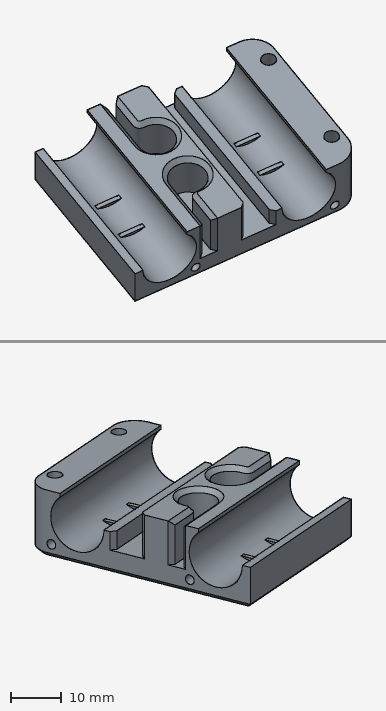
import cadquery as cq

width = 38.0
length = 52.0
height = 14.5
back_corner_radius = 5.0
bevel = 1.0

channel_diameter = 12.3
channel_radius = channel_diameter / 2
channel_z = 9.0
channel_positions = (8.0, 40.0)
lip_offset = 4.0

rib_width = 1.0
rib_spacing = 8.9
rib_top = 3.5

groove_floor = 5.0
wide_groove = (25.5, 31.5)
cable_slot = (16.0, 18.0)

well_diameter = 8.0
well_radius = well_diameter / 2
well_spacing = 12.0
well_y = cable_slot[0] + well_radius
slot_corner_radius = 1.5

cross_hole_diameter = 2.0
cross_hole_offset = 6.0
cross_hole_z = 3.0

screw_diameter = 3.1
screw_spacing = 24.0
screw_y = 49.5
disc_radius = 2.99
disc_z = 2.0
disc_thickness = 0.1

mid_x = width / 2


def box(x_limits, y_limits, z_limits):
    """Axis-aligned box between the given limits."""
    size = [high - low for low, high in (x_limits, y_limits, z_limits)]
    corner = (x_limits[0], y_limits[0], z_limits[0])
    return cq.Workplane("XY").box(*size, centered=False).translate(corner)


def upright_cylinder(x, y, radius, z_low, z_high):
    """Cylinder along Z."""
    return cq.Workplane("XY", origin=(x, y, z_low)).circle(radius).extrude(z_high - z_low)


def cross_cylinder(y, z, radius):
    """Cylinder along X through the full width."""
    return cq.Workplane("YZ").center(y, z).circle(radius).extrude(width)


def base_block():
    """Block with rounded rear corners and a bevelled base edge."""
    block = box((0, width), (0, length), (0, height))
    block = block.edges("|Z and >Y").fillet(back_corner_radius)
    return block.faces("<Z").edges().chamfer(bevel)


def channel(y):
    """Round channel with its entry opening; the stop ribs are left standing."""
    bore = cross_cylinder(y, channel_z, channel_radius)
    mouth = box((0, width), (y, y + lip_offset), (channel_z, height))
    tool = bore.union(mouth)
    for side in (-1, 1):
        rib_x = mid_x + side * rib_spacing / 2
        rib_limits = (rib_x - rib_width / 2, rib_x + rib_width / 2)
        tool = tool.cut(box(rib_limits, (y - channel_radius, y + channel_radius), (0, rib_top)))
    return tool


def groove_end_flares(y_limits):
    """Wedges that bevel the upright corners at both ends of a groove."""
    low, high = y_limits
    wedge = (
        cq.Workplane("XY", origin=(0, 0, groove_floor))
        .polyline([(0, low - bevel), (bevel, low), (bevel, high), (0, high + bevel)])
        .close()
        .extrude(height - groove_floor)
    )
    return wedge.union(wedge.mirror("YZ", (mid_x, 0, 0)))


def cable_well():
    """Left-hand well with its slot to the -X side and a rounded slot corner."""
    slot_low, slot_high = cable_slot
    well_x = mid_x - well_spacing / 2
    wall_x = well_x - well_radius
    return (
        cq.Workplane("XY", origin=(0, 0, groove_floor))
        .moveTo(0, slot_low)
        .lineTo(well_x, slot_low)
        .threePointArc((well_x + well_radius, well_y), (wall_x, well_y))
        .lineTo(wall_x, slot_high + slot_corner_radius)
        .radiusArc((wall_x - slot_corner_radius, slot_high), slot_corner_radius)
        .lineTo(0, slot_high)
        .close()
        .extrude(height - groove_floor)
    )


def cut_cable_wells(body):
    """Cut both wells and bevel their top rims."""
    well = cable_well()
    body = body.cut(well).cut(well.mirror("YZ", (mid_x, 0, 0)))
    margin = bevel / 2
    rim_zone = cq.selectors.BoxSelector(
        (margin, cable_slot[0] - margin, height - margin),
        (width - margin, well_y + well_radius + margin, height + margin),
    )
    return body.edges(rim_zone).chamfer(bevel).cut(groove_end_flares(cable_slot))


def cut_wide_groove(body):
    """Cut the groove behind the wells and bevel its ends."""
    groove = box((0, width), wide_groove, (groove_floor, height))
    return body.cut(groove).cut(groove_end_flares(wide_groove))


def cut_channel(body, y, wall_start):
    """Cut a channel, lower its front wall to the channel axis and drill the cross hole beside it."""
    wall_removal = box((0, width), (wall_start, y), (channel_z, height))
    cross_hole = cross_cylinder(y + cross_hole_offset, cross_hole_z, cross_hole_diameter / 2)
    return body.cut(channel(y)).cut(wall_removal).cut(cross_hole)


def cut_screw_holes(body):
    """Through hole on the right; hole closed by a thin disc on the left."""
    left_x = mid_x - screw_spacing / 2
    right_x = mid_x + screw_spacing / 2
    disc_top = disc_z + disc_thickness
    body = body.union(upright_cylinder(left_x, screw_y, disc_radius, disc_z, disc_top))
    body = body.cut(upright_cylinder(left_x, screw_y, screw_diameter / 2, disc_top, height))
    return body.cut(upright_cylinder(right_x, screw_y, screw_diameter / 2, 0, height))


result = cut_cable_wells(base_block())
result = cut_wide_groove(result)
front_wall_starts = (0, wide_groove[1])
for channel_y, front_wall_y in zip(channel_positions, front_wall_starts):
    result = cut_channel(result, channel_y, front_wall_y)
result = cut_screw_holes(result)